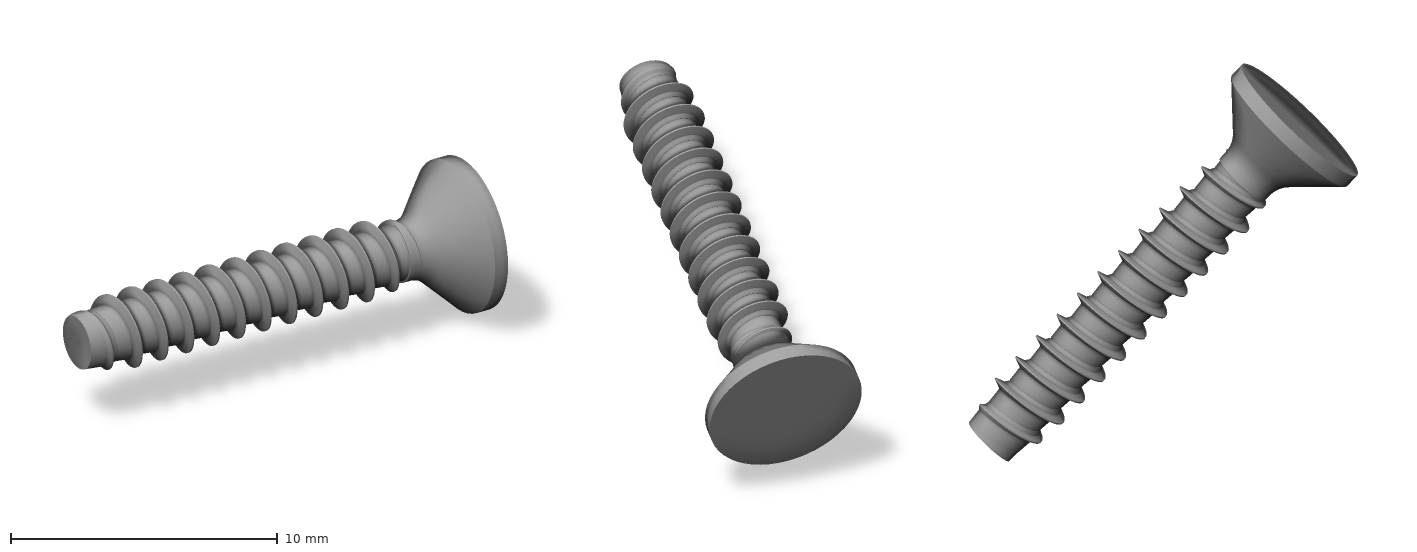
import cadquery as cq
import math

LENGTH = 17.0

HEAD_RADIUS = 3.0
RIM_HEIGHT = 0.57
HEAD_CONE_HALF_ANGLE = math.radians(45)

COLLAR_RADIUS = 1.16
NECK_FILLET_RADIUS = 1.1
COLLAR_END = 3.16

CORE_RADIUS = 1.045
TIP_DISH_DEPTH = 0.08

PITCH = 1.123
CREST_RADIUS = 1.5
CREST_DEPTH_AT_PLUS_Z = 4.12
RUN_IN_END = 4.2
RUN_IN_SLOPE = 0.21
RUN_OUT_START = 15.35
RUN_OUT_SLOPE = 0.31
THREAD_START = 2.35
THREAD_END = LENGTH - 0.3
PIECES_PER_TURN = 2
STEPS_PER_PIECE = 8

CREST_HALF_WIDTH = 0.03
LEAD_FOOT_OFFSET = -0.31
LEAD_KNEE_OFFSET = -0.14
LEAD_KNEE_FRACTION = 0.25
TRAIL_FOOT_OFFSET = 0.18
SKIRT_END_OFFSET = 0.80
TIP_CLEARANCE = 0.02
THREAD_BASE_RADIUS = 0.90
FOOT_RADIUS = 1.06
SKIRT_RADIUS = 1.12
LOWEST_CREST_RADIUS = 1.13


def make_body():
    """Head, neck and core, revolved about the Y axis."""
    cone_run = HEAD_RADIUS - COLLAR_RADIUS
    corner_depth = RIM_HEIGHT + cone_run / math.tan(HEAD_CONE_HALF_ANGLE)
    tangent_length = NECK_FILLET_RADIUS * math.tan(HEAD_CONE_HALF_ANGLE / 2)
    fillet_end_depth = corner_depth + tangent_length
    fillet_start = (
        COLLAR_RADIUS + tangent_length * math.sin(HEAD_CONE_HALF_ANGLE),
        -corner_depth + tangent_length * math.cos(HEAD_CONE_HALF_ANGLE),
    )
    half_turn = HEAD_CONE_HALF_ANGLE / 2
    fillet_middle = (
        COLLAR_RADIUS + NECK_FILLET_RADIUS * (1 - math.cos(half_turn)),
        -fillet_end_depth + NECK_FILLET_RADIUS * math.sin(half_turn),
    )
    outline = (
        cq.Workplane("XY")
        .lineTo(HEAD_RADIUS, 0)
        .lineTo(HEAD_RADIUS, -RIM_HEIGHT)
        .lineTo(*fillet_start)
        .threePointArc(fillet_middle, (COLLAR_RADIUS, -fillet_end_depth))
        .lineTo(COLLAR_RADIUS, -COLLAR_END)
        .lineTo(CORE_RADIUS, -COLLAR_END)
        .lineTo(CORE_RADIUS, -LENGTH)
        .lineTo(0, -LENGTH + TIP_DISH_DEPTH)
        .close()
    )
    return outline.revolve(360, (0, 0, 0), (0, 1, 0))


def crest_radius(depth):
    """Crest radius, lowered along the run-in and the run-out."""
    run_in_drop = RUN_IN_SLOPE * max(0, RUN_IN_END - depth)
    run_out_drop = RUN_OUT_SLOPE * max(0, depth - RUN_OUT_START)
    return max(LOWEST_CREST_RADIUS, CREST_RADIUS - run_in_drop - run_out_drop)


def knee_radius(depth):
    return FOOT_RADIUS + LEAD_KNEE_FRACTION * (crest_radius(depth) - FOOT_RADIUS)


def skirt_end_offset(depth):
    """End of the trailing cone, cut short where it would run past the tip."""
    return min(SKIRT_END_OFFSET, LENGTH - TIP_CLEARANCE - depth)


def constant(value):
    return lambda depth: value


def helix_point(depth, offset_at, radius_at):
    angle = 2 * math.pi * (depth - CREST_DEPTH_AT_PLUS_Z) / PITCH
    radius = radius_at(depth)
    return cq.Vector(-radius * math.sin(angle), -depth - offset_at(depth), radius * math.cos(angle))


def helix_edge(start_depth, end_depth, offset_at, radius_at):
    """Helical curve with a varying radius, shifted along the axis by a varying offset."""
    step = (end_depth - start_depth) / STEPS_PER_PIECE
    depths = [start_depth + i * step for i in range(STEPS_PER_PIECE + 1)]
    return cq.Edge.makeSpline([helix_point(depth, offset_at, radius_at) for depth in depths])


def end_cap(depth, section):
    corners = [helix_point(depth, *corner) for corner in section]
    return cq.Face.makeFromWires(cq.Wire.makePolygon(corners, close=True))


def helical_solid(section):
    """Solid swept along the thread, made of ruled faces between neighbouring helical edges."""
    count = math.ceil((THREAD_END - THREAD_START) / PITCH * PIECES_PER_TURN)
    piece = (THREAD_END - THREAD_START) / count
    faces = [end_cap(THREAD_START, section), end_cap(THREAD_END, section)]
    for i in range(count):
        start_depth = THREAD_START + i * piece
        edges = [helix_edge(start_depth, start_depth + piece, *corner) for corner in section]
        neighbours = edges[1:] + edges[:1]
        faces += [cq.Face.makeRuledSurface(a, b) for a, b in zip(edges, neighbours)]
    solid = cq.Solid.makeSolid(cq.Shell.makeShell(faces))
    return cq.Workplane(obj=solid.fix())


def make_thread():
    """Thread ridge together with the gentle cone that trails it."""
    section = [
        (constant(LEAD_FOOT_OFFSET), constant(THREAD_BASE_RADIUS)),
        (constant(LEAD_FOOT_OFFSET), constant(FOOT_RADIUS)),
        (constant(LEAD_KNEE_OFFSET), knee_radius),
        (constant(-CREST_HALF_WIDTH), crest_radius),
        (constant(CREST_HALF_WIDTH), crest_radius),
        (constant(TRAIL_FOOT_OFFSET), constant(SKIRT_RADIUS)),
        (skirt_end_offset, constant(FOOT_RADIUS)),
        (skirt_end_offset, constant(THREAD_BASE_RADIUS)),
    ]
    return helical_solid(section)


result = make_body().union(make_thread(), clean=False)